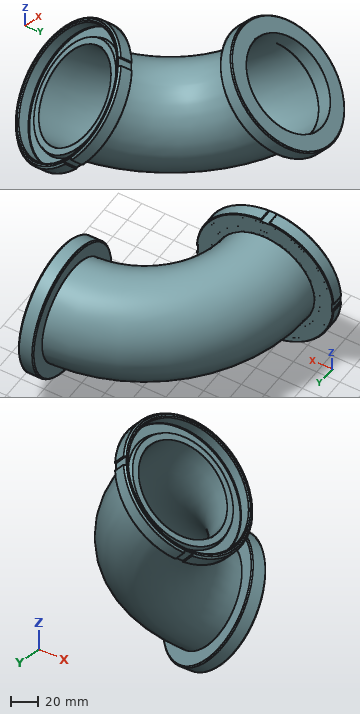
import cadquery as cq
pipe_diameter = 85.0
pipe_wall = 2.0
bend_radius = 105.0
leg_length = 115.0
flange_thickness = 13.0
flange_diameter = 110.0
flange_chamfer = 1.0

collar_base_radius = 47.2
collar_tip_radius = 46.0
collar_height = 3.8

nut_diameter = 118.0
nut_length = 12.5
nut_back_chamfer = 0.6
nut_front_chamfer = 1.5
nut_bore_radius = 55.0
nut_bore_chamfer = 1.0
nut_web = 1.0
relief_radius = 55.3
relief_width = 1.2
slot_width = 7.2
slot_depth = 1.5
slot_count = 4

pipe_radius = pipe_diameter / 2
bore_radius = pipe_radius - pipe_wall
flange_back = leg_length - flange_thickness
nut_radius = nut_diameter / 2
nut_back = -flange_back
nut_front = nut_back - nut_length
web_front = nut_back - nut_web
collar_tip = web_front - collar_height


def bend(radius):
    """Quarter-torus rod from the nut end (along Y) to the flange end (along X)."""
    return (
        cq.Workplane("XZ", origin=(0, -bend_radius, 0))
        .circle(radius)
        .revolve(90, (bend_radius, 1, 0), (bend_radius, 0, 0))
    )


def cylinder_y(radius, y_start, y_end):
    """Cylinder about the Y axis, from y_start toward lower y_end."""
    return cq.Workplane("XZ", origin=(0, y_start, 0)).circle(radius).extrude(y_start - y_end)


def cylinder_x(radius):
    """Cylinder about the X axis, as long as the far flange is thick."""
    return cq.Workplane("YZ", origin=(flange_back, 0, 0)).circle(radius).extrude(flange_thickness)


def make_elbow():
    """Bent pipe with a plain flange at one end and a tapered collar at the other."""
    flange = cylinder_x(flange_diameter / 2).edges().chamfer(flange_chamfer)
    collar = (
        cq.Workplane("XZ", origin=(0, web_front, 0))
        .circle(collar_base_radius)
        .workplane(offset=collar_height)
        .circle(collar_tip_radius)
        .loft(ruled=True)
    )
    body = bend(pipe_radius).union(flange).union(collar)
    body = body.cut(bend(bore_radius))
    body = body.cut(cylinder_x(bore_radius))
    return body.cut(cylinder_y(bore_radius, -bend_radius, collar_tip))


def make_slot(angle):
    """Block that cuts one spanner slot across the rim of the nut."""
    return (
        cq.Workplane("XY")
        .box(slot_width, nut_length, nut_radius, centered=(True, False, False))
        .translate((0, nut_front, nut_radius - slot_depth))
        .rotate((0, 0, 0), (0, 1, 0), angle)
    )


def make_nut():
    """Slotted ring nut with a thin back wall that fits around the pipe."""
    nut = cylinder_y(nut_radius, nut_back, nut_front)
    nut = nut.faces("<Y").chamfer(nut_front_chamfer)
    nut = nut.faces(">Y").chamfer(nut_back_chamfer)
    nut = nut.cut(cylinder_y(nut_bore_radius, web_front, nut_front))
    nut = nut.cut(cylinder_y(pipe_radius, nut_back, nut_front))
    nut = nut.faces("<Y").edges(cq.selectors.RadiusNthSelector(0)).chamfer(nut_bore_chamfer)
    nut = nut.cut(cylinder_y(relief_radius, web_front, web_front - relief_width))
    for index in range(slot_count):
        nut = nut.cut(make_slot(index * 360 / slot_count))
    return nut


elbow = make_elbow()
nut = make_nut()
result = cq.Compound.makeCompound([elbow.val(), nut.val()])